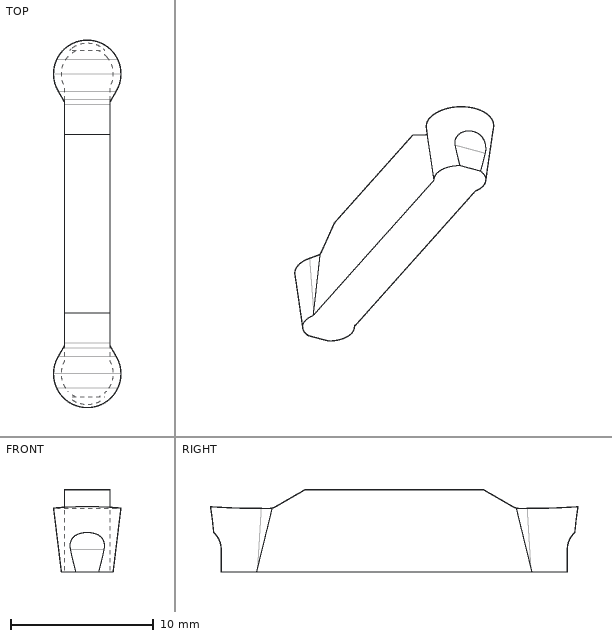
import cadquery as cq
import math

length = 25.88
height = 5.8
bar_width = 3.24
head_width = 4.75

plateau_end = 6.3
ramp_angle = math.radians(30)
ramp_fillet_radius = 0.72
fillet_end = 8.75
floor_end = 9.32
arc_end = 11.57

crest_rise = 0.015
hollow_rise = 0.03
lip_rise = 0.072

clearance_angle = 7.0
flank_angle = math.radians(30)

relief_face_y = 12.2
relief_arc_start_z = 1.6
relief_radius = 1.58

fillet_start = fillet_end - ramp_fillet_radius * math.sin(ramp_angle)
fillet_start_z = height - (fillet_start - plateau_end) * math.tan(ramp_angle)
floor_z = fillet_start_z - ramp_fillet_radius * (1 - math.cos(ramp_angle))
crest_z = floor_z + crest_rise
hollow_end_z = crest_z + hollow_rise
tip_z = hollow_end_z + lip_rise

rim_radius = head_width / 2 + (tip_z - crest_z) * math.tan(math.radians(clearance_angle))
head_center = length / 2 - rim_radius


def make_bar():
    """Straight shank that ends inside the two heads."""
    return cq.Workplane("XY").box(bar_width, 2 * head_center, height, centered=(True, True, False))


def make_head():
    """Round head whose tangent flanks converge to a point inside the bar."""
    tangent_x = rim_radius * math.cos(flank_angle)
    tangent_y = head_center - rim_radius * math.sin(flank_angle)
    apex_y = head_center - rim_radius / math.sin(flank_angle)
    return (
        cq.Workplane("XY", origin=(0, 0, tip_z))
        .moveTo(0, apex_y)
        .lineTo(tangent_x, tangent_y)
        .threePointArc((0, length / 2), (-tangent_x, tangent_y))
        .close()
        .extrude(-tip_z, taper=clearance_angle)
    )


def make_end_envelope():
    """Side profile of one half: ramp, fillet, floor, chip hollow and tip."""
    half_angle = ramp_angle / 2
    fillet_mid = (
        fillet_end - ramp_fillet_radius * math.sin(half_angle),
        floor_z + ramp_fillet_radius * (1 - math.cos(half_angle)),
    )
    crest_mid = ((floor_end + head_center) / 2, crest_z - crest_rise / 4)
    hollow_mid = ((head_center + arc_end) / 2, crest_z + hollow_rise / 4)
    return (
        cq.Workplane("YZ")
        .moveTo(0, 0)
        .lineTo(0, height)
        .lineTo(plateau_end, height)
        .lineTo(fillet_start, fillet_start_z)
        .threePointArc(fillet_mid, (fillet_end, floor_z))
        .lineTo(floor_end, floor_z)
        .threePointArc(crest_mid, (head_center, crest_z))
        .threePointArc(hollow_mid, (arc_end, hollow_end_z))
        .lineTo(length / 2, tip_z)
        .lineTo(length / 2, 0)
        .close()
        .extrude(head_width, both=True)
    )


def make_relief():
    """Vertical flat that curves outward into the head wall."""
    arc_center_y = relief_face_y + relief_radius
    diagonal = relief_radius * math.sqrt(0.5)
    return (
        cq.Workplane("YZ")
        .moveTo(relief_face_y, 0)
        .lineTo(relief_face_y, relief_arc_start_z)
        .threePointArc(
            (arc_center_y - diagonal, relief_arc_start_z + diagonal),
            (arc_center_y, relief_arc_start_z + relief_radius),
        )
        .lineTo(arc_center_y, 0)
        .close()
        .extrude(head_width, both=True)
    )


def both_ends(shape):
    """Combine a shape at the +Y end with its mirror image at the -Y end."""
    return shape.union(shape.mirror("XZ"))


result = (
    make_bar()
    .union(both_ends(make_head()))
    .intersect(both_ends(make_end_envelope()))
    .cut(both_ends(make_relief()))
)